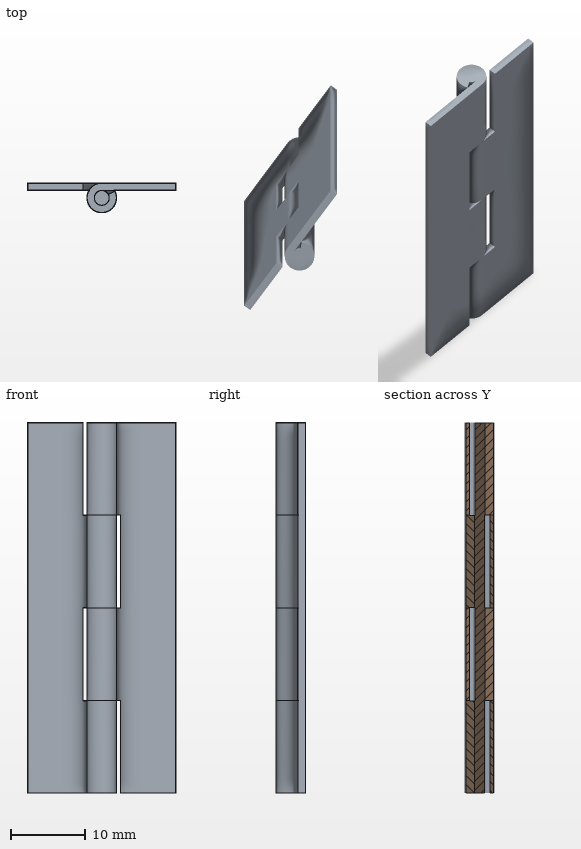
import cadquery as cq
import math

hinge_width = 20.0
hinge_height = 50.0
sheet_thickness = 1.0
pin_radius = 1.0
knuckle_count = 4
knuckle_clearance = 0.5
curl_end_gap = math.radians(2.5)

half_width = hinge_width / 2
knuckle_radius = pin_radius + sheet_thickness
knuckle_height = hinge_height / knuckle_count
notch_edge = knuckle_radius + knuckle_clearance
leaf_contact_angle = math.asin(pin_radius / knuckle_radius)
curl_end_angle = leaf_contact_angle - curl_end_gap
diagonal = math.sqrt(0.5)


def curl_end(radius):
    """Point on the free end of the curl, at the given distance from the hinge axis."""
    return (radius * math.cos(curl_end_angle), radius * math.sin(curl_end_angle))


def make_knuckle(index):
    """Sheet strip from the flat leaf, rolled around the pin in one knuckle's height."""
    return (
        cq.Workplane("XY", origin=(0, 0, index * knuckle_height))
        .moveTo(notch_edge, pin_radius)
        .lineTo(notch_edge, knuckle_radius)
        .lineTo(0, knuckle_radius)
        .threePointArc((-knuckle_radius, 0), (0, -knuckle_radius))
        .threePointArc(
            (knuckle_radius * diagonal, -knuckle_radius * diagonal),
            curl_end(knuckle_radius),
        )
        .lineTo(*curl_end(pin_radius))
        .threePointArc((0, -pin_radius), (-pin_radius, 0))
        .threePointArc(
            (-pin_radius * diagonal, pin_radius * diagonal),
            (0, pin_radius),
        )
        .close()
        .extrude(knuckle_height)
    )


def make_leaf(knuckle_indices):
    """Flat leaf on the +X side with knuckles at the given levels, counted from the bottom."""
    leaf = cq.Workplane("XY", origin=(notch_edge, pin_radius, 0)).box(
        half_width - notch_edge, sheet_thickness, hinge_height, centered=False
    )
    for index in knuckle_indices:
        leaf = leaf.union(make_knuckle(index))
    return leaf.solids()


right_leaf = make_leaf(range(1, knuckle_count, 2))

left_leaf = make_leaf(range(0, knuckle_count, 2)).mirror("YZ")

pin = cq.Workplane("XY").circle(pin_radius).extrude(hinge_height)

result = cq.Compound.makeCompound([right_leaf.val(), left_leaf.val(), pin.val()])